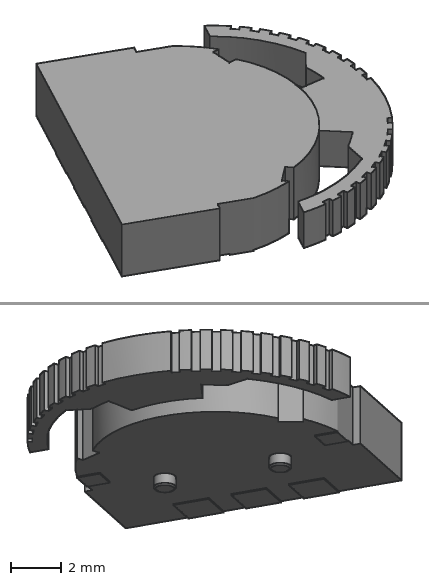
import cadquery as cq
import math

DIAL_WIDTH = 14.0
TOTAL_DEPTH = 12.78
TOTAL_HEIGHT = 3.0

HOUSING_HEIGHT = 2.5
BASE_WIDTH = 12.05
SHOULDER_WIDTH = 11.4
STEP_Y = 4.09
SHOULDER_RADIUS = 5.9
NOSE_RADIUS = 5.04
NOSE_TIP_Y = 9.81

NOSE_END_X = 4.06
NOTCH_INNER_CORNER = (3.9, 7.43)
NOTCH_OUTER_CORNER = (4.82, 7.03)
SHOULDER_START_X = 4.94

PAD_THICKNESS = 0.05
PITCH = 2.52
FRONT_PAD_WIDTH = 1.54
FRONT_PAD_DEPTH = 1.5
SIDE_PAD_SIZE = 1.0
PIN_DIAMETER = 0.9
PIN_CHAMFER = 0.07

DIAL_BOTTOM = 0.6
DIAL_THICKNESS = 1.72
DIAL_RADIUS = 7.21
ARM_INNER_RADIUS = 6.43
LEDGE_RADIUS = 5.61
TONGUE_HALF_ANGLE = 21.1
LEDGE_END_ANGLE = 31.7
ARM_START_ANGLE = 38.1

GROOVES_PER_SIDE = 9
FIRST_GROOVE_ANGLE = 13.4
GROOVE_PITCH_ANGLE = 6.6
GROOVE_WIDTH = 0.35
GROOVE_DEPTH = 0.2

half_base = BASE_WIDTH / 2
half_shoulder = SHOULDER_WIDTH / 2
nose_center_y = NOSE_TIP_Y - NOSE_RADIUS
dial_center_y = TOTAL_DEPTH - DIAL_RADIUS
pin_length = TOTAL_HEIGHT - HOUSING_HEIGHT


def arc_point(x, radius, center_y):
    """Point at a given x on the +Y half of a circle centred at x = 0."""
    return (x, center_y + math.sqrt(radius**2 - x**2))


def dial_point(radius, angle):
    """Point on the dial at an angle from +Y, positive toward +X."""
    turn = math.radians(angle)
    return (radius * math.sin(turn), dial_center_y + radius * math.cos(turn))


def housing_block():
    """Wide base, rounded shoulders and a central nose with a notch at each end of it."""
    shoulder_middle_x = (SHOULDER_START_X + half_shoulder) / 2
    half = (
        cq.Workplane("XY")
        .lineTo(half_base, 0)
        .lineTo(half_base, STEP_Y)
        .lineTo(half_shoulder, STEP_Y)
        .lineTo(*arc_point(half_shoulder, SHOULDER_RADIUS, STEP_Y))
        .threePointArc(
            arc_point(shoulder_middle_x, SHOULDER_RADIUS, STEP_Y),
            arc_point(SHOULDER_START_X, SHOULDER_RADIUS, STEP_Y),
        )
        .lineTo(*NOTCH_OUTER_CORNER)
        .lineTo(*NOTCH_INNER_CORNER)
        .lineTo(*arc_point(NOSE_END_X, NOSE_RADIUS, nose_center_y))
        .threePointArc(
            arc_point(NOSE_END_X / 2, NOSE_RADIUS, nose_center_y),
            (0, NOSE_TIP_Y),
        )
        .close()
        .extrude(HOUSING_HEIGHT)
    )
    return half.union(half.mirror("YZ")).clean()


def pads():
    """Three front pads and two side pads, standing just below the housing underside."""
    shoulder_top_y = arc_point(half_shoulder, SHOULDER_RADIUS, STEP_Y)[1]
    side_pad_x = half_shoulder - SIDE_PAD_SIZE / 2
    side_pad_y = shoulder_top_y - SIDE_PAD_SIZE / 2
    front = (
        cq.Workplane("XY")
        .pushPoints([(column * PITCH, FRONT_PAD_DEPTH / 2) for column in (-1, 0, 1)])
        .rect(FRONT_PAD_WIDTH, FRONT_PAD_DEPTH)
        .extrude(-PAD_THICKNESS)
    )
    sides = (
        cq.Workplane("XY")
        .pushPoints([(side * side_pad_x, side_pad_y) for side in (-1, 1)])
        .rect(SIDE_PAD_SIZE, SIDE_PAD_SIZE)
        .extrude(-PAD_THICKNESS)
    )
    return front.union(sides)


def locating_pins():
    """Two pins below the housing, chamfered at the free end."""
    return (
        cq.Workplane("XY")
        .pushPoints([(side * PITCH, STEP_Y) for side in (-1, 1)])
        .circle(PIN_DIAMETER / 2)
        .extrude(-pin_length)
        .faces("<Z")
        .chamfer(PIN_CHAMFER)
    )


def dial_blank():
    """Arched rim with a central tongue whose end bears on the housing nose."""
    tip_x = DIAL_WIDTH / 2
    tip_y = arc_point(tip_x, DIAL_RADIUS, dial_center_y)[1]
    arm_inner_x = math.sqrt(ARM_INNER_RADIUS**2 - (tip_y - dial_center_y) ** 2)
    arm_end_angle = math.degrees(math.atan2(arm_inner_x, tip_y - dial_center_y))

    center_offset = dial_center_y - nose_center_y
    turn = math.radians(TONGUE_HALF_ANGLE)
    tongue_end_radius = (
        math.sqrt(NOSE_RADIUS**2 - (center_offset * math.sin(turn)) ** 2)
        - center_offset * math.cos(turn)
    )
    tongue_end = dial_point(tongue_end_radius, TONGUE_HALF_ANGLE)

    half = (
        cq.Workplane("XY")
        .moveTo(0, TOTAL_DEPTH)
        .threePointArc(arc_point(tip_x / 2, DIAL_RADIUS, dial_center_y), (tip_x, tip_y))
        .lineTo(arm_inner_x, tip_y)
        .threePointArc(
            dial_point(ARM_INNER_RADIUS, (arm_end_angle + ARM_START_ANGLE) / 2),
            dial_point(ARM_INNER_RADIUS, ARM_START_ANGLE),
        )
        .lineTo(*dial_point(LEDGE_RADIUS, LEDGE_END_ANGLE))
        .threePointArc(
            dial_point(LEDGE_RADIUS, (LEDGE_END_ANGLE + TONGUE_HALF_ANGLE) / 2),
            dial_point(LEDGE_RADIUS, TONGUE_HALF_ANGLE),
        )
        .lineTo(*tongue_end)
        .threePointArc(
            arc_point(tongue_end[0] / 2, NOSE_RADIUS, nose_center_y),
            (0, NOSE_TIP_Y),
        )
        .close()
        .extrude(DIAL_THICKNESS)
    )
    return half.union(half.mirror("YZ")).clean()


def grip_grooves():
    """Square grooves along the rim, evenly spaced on both sides of a plain middle stretch."""
    cutter = (
        cq.Workplane("XY")
        .center(0, TOTAL_DEPTH)
        .rect(GROOVE_WIDTH, 2 * GROOVE_DEPTH)
        .extrude(DIAL_THICKNESS)
    )
    axis_start = (0, dial_center_y, 0)
    axis_end = (0, dial_center_y, 1)
    grooves = cq.Workplane("XY")
    for index in range(GROOVES_PER_SIDE):
        angle = FIRST_GROOVE_ANGLE + index * GROOVE_PITCH_ANGLE
        for side in (-1, 1):
            grooves = grooves.add(cutter.rotate(axis_start, axis_end, side * angle))
    return grooves.combine()


housing = housing_block().union(pads()).union(locating_pins())
dial = dial_blank().cut(grip_grooves()).translate((0, 0, DIAL_BOTTOM))

result = cq.Compound.makeCompound([housing.solids().val(), dial.solids().val()])